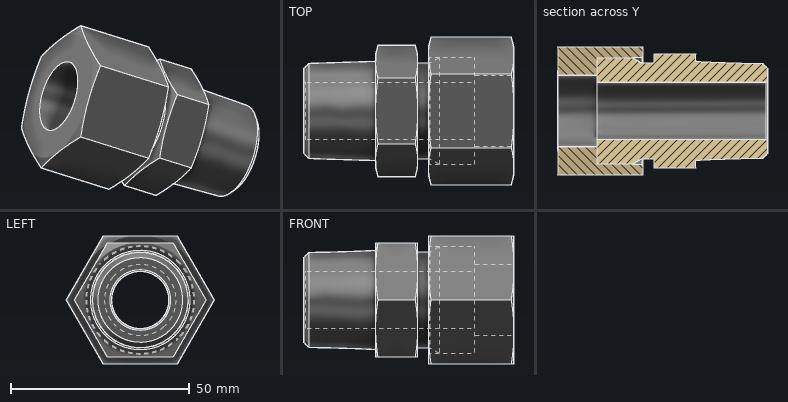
import cadquery as cq
import math


taper_end = 20.2
body_hex_end = 32.0
nut_start = 35.0
nut_end = 59.0
neck_end = 35.5
stub_end = 48.0

bore_radius = 8.0
bore_chamfer = 0.5
tip_chamfer = 1.5
taper_small_radius = 13.37
taper_ratio = 1 / 16
taper_large_radius = taper_small_radius + (taper_end - tip_chamfer) * taper_ratio / 2
body_hex_width = 32.0
neck_radius = 13.5
thread_radius = 15.0
shoulder_height = thread_radius - neck_radius
shoulder_angle = math.radians(30)
thread_start = neck_end + shoulder_height / math.tan(shoulder_angle)

nut_hex_width = 36.0
tube_hole_radius = 10.0
entry_chamfer = 0.25

hex_chamfer_angle = math.radians(15)


def revolve_about_axis(points):
    """Solid of revolution about X from (x, radius) points."""
    return cq.Workplane("XY").polyline(points).close().revolve(360, (0, 0, 0), (1, 0, 0))


def chamfered_hexagon(start, end, width):
    """Hexagonal prism along X with flats facing +Z and -Z and both ends turned to a cone."""
    corner_radius = width / math.sqrt(3)
    flat_radius = width / 2
    chamfer_length = (corner_radius - flat_radius) * math.tan(hex_chamfer_angle)
    prism = cq.Workplane("YZ", origin=(start, 0, 0)).polygon(6, 2 * corner_radius).extrude(end - start)
    turned_envelope = revolve_about_axis([
        (start, 0),
        (start, flat_radius),
        (start + chamfer_length, corner_radius),
        (end - chamfer_length, corner_radius),
        (end, flat_radius),
        (end, 0),
    ])
    return prism.intersect(turned_envelope)


def make_body():
    """Hollow fitting: tapered thread, hexagon, neck and plain stub standing for the nut thread."""
    turned_outside = revolve_about_axis([
        (0, 0),
        (0, taper_small_radius - tip_chamfer),
        (tip_chamfer, taper_small_radius),
        (taper_end, taper_large_radius),
        (taper_end, neck_radius),
        (neck_end, neck_radius),
        (thread_start, thread_radius),
        (stub_end, thread_radius),
        (stub_end, 0),
    ])
    hexagon = chamfered_hexagon(taper_end, body_hex_end, body_hex_width)
    bore = revolve_about_axis([
        (0, 0),
        (0, bore_radius + bore_chamfer),
        (bore_chamfer, bore_radius),
        (stub_end, bore_radius),
        (stub_end, 0),
    ])
    return turned_outside.union(hexagon).cut(bore)


def make_nut():
    """Union nut: fitted over the body's stub, with a tube hole through its closed end."""
    cavity = revolve_about_axis([
        (nut_start, 0),
        (nut_start, thread_radius + entry_chamfer),
        (nut_start + entry_chamfer, thread_radius),
        (stub_end, thread_radius),
        (stub_end, tube_hole_radius),
        (nut_end, tube_hole_radius),
        (nut_end, 0),
    ])
    return chamfered_hexagon(nut_start, nut_end, nut_hex_width).cut(cavity)


body = make_body()
nut = make_nut()
result = cq.Compound.makeCompound([body.val(), nut.val()])